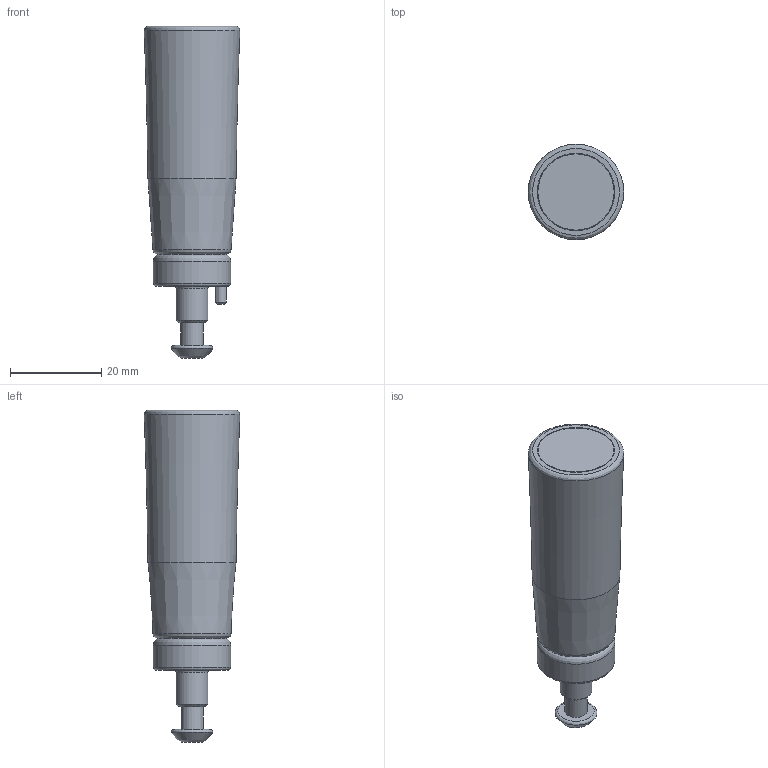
import cadquery as cq
import math


GRIP_TOP_Z = 57.0
GRIP_BOTTOM_Z = 7.0
GRIP_TOP_RADIUS = 20.95 / 2
GRIP_WAIST_RADIUS = 9.65
GRIP_WAIST_Z = 23.6
GRIP_BOTTOM_RADIUS = 8.55
GRIP_EDGE_ROUND = 0.95
UPPER_SIDE_HOLLOW = 0.1

CAP_SEAT_DIAMETER = 17.0
CAP_DIAMETER = 16.7
CAP_GAP_DEPTH = 1.0

COLLAR_RADIUS = 17.0 / 2
COLLAR_TOP_ROUND = 1.5
COLLAR_BOTTOM_ROUND = 0.6

STEM_RADIUS = 7.0 / 2
STEM_ROOT_ROUND = 0.5
STEM_BOTTOM_Z = -8.0
STEM_CHAMFER = 0.5
NECK_RADIUS = 5.0 / 2
HEAD_TOP_Z = -13.0
HEAD_BOTTOM_Z = -15.75
HEAD_RADIUS = 4.6
HEAD_EDGE_ROUND = 0.6
HEAD_FLAT_RADIUS = 2.3
HEAD_DOME_BULGE = 0.35

PIN_DIAMETER = 2.5
PIN_OFFSET = 6.3
PIN_BOTTOM_Z = -4.0
PIN_CHAMFER = 0.5

DIAGONAL = math.sqrt(0.5)


def make_grip():
    """Tapered grip, slightly hollow above the waist, rounded at both ends."""
    upper_bottom = (GRIP_WAIST_RADIUS, GRIP_WAIST_Z)
    upper_top_z = GRIP_TOP_Z - GRIP_EDGE_ROUND
    upper_middle = (
        (GRIP_WAIST_RADIUS + GRIP_TOP_RADIUS) / 2 - UPPER_SIDE_HOLLOW,
        (GRIP_WAIST_Z + upper_top_z) / 2,
    )
    round_inset = GRIP_EDGE_ROUND * (1 - DIAGONAL)
    profile = (
        cq.Workplane("XZ")
        .moveTo(0, GRIP_BOTTOM_Z)
        .lineTo(GRIP_BOTTOM_RADIUS - GRIP_EDGE_ROUND, GRIP_BOTTOM_Z)
        .threePointArc(
            (GRIP_BOTTOM_RADIUS - round_inset, GRIP_BOTTOM_Z + round_inset),
            (GRIP_BOTTOM_RADIUS, GRIP_BOTTOM_Z + GRIP_EDGE_ROUND),
        )
        .lineTo(*upper_bottom)
        .threePointArc(upper_middle, (GRIP_TOP_RADIUS, upper_top_z))
        .threePointArc(
            (GRIP_TOP_RADIUS - round_inset, GRIP_TOP_Z - round_inset),
            (GRIP_TOP_RADIUS - GRIP_EDGE_ROUND, GRIP_TOP_Z),
        )
        .lineTo(0, GRIP_TOP_Z)
        .close()
    )
    return profile.revolve(360, (0, 0, 0), (0, 1, 0))


def make_cap_gap():
    """Thin ring-shaped gap between the cap and its seat."""
    return (
        cq.Workplane("XY", origin=(0, 0, GRIP_TOP_Z - CAP_GAP_DEPTH))
        .circle(CAP_SEAT_DIAMETER / 2)
        .circle(CAP_DIAMETER / 2)
        .extrude(CAP_GAP_DEPTH)
    )


def make_collar():
    """Plain collar under the grip, rounded on both rims."""
    collar = cq.Workplane("XY").circle(COLLAR_RADIUS).extrude(GRIP_BOTTOM_Z)
    collar = collar.faces(">Z").edges().fillet(COLLAR_TOP_ROUND)
    return collar.faces("<Z").edges().fillet(COLLAR_BOTTOM_ROUND)


def make_stem():
    """Stem with a filleted root, a thinner neck and a domed head."""
    dome_top_z = HEAD_TOP_Z - HEAD_EDGE_ROUND
    round_inset = HEAD_EDGE_ROUND * (1 - DIAGONAL)
    dome_length = math.hypot(HEAD_RADIUS - HEAD_FLAT_RADIUS, dome_top_z - HEAD_BOTTOM_Z)
    bulge_r = HEAD_DOME_BULGE * (dome_top_z - HEAD_BOTTOM_Z) / dome_length
    bulge_z = HEAD_DOME_BULGE * (HEAD_RADIUS - HEAD_FLAT_RADIUS) / dome_length
    dome_middle = (
        (HEAD_RADIUS + HEAD_FLAT_RADIUS) / 2 + bulge_r,
        (dome_top_z + HEAD_BOTTOM_Z) / 2 - bulge_z,
    )
    root_inset = STEM_ROOT_ROUND * (1 - DIAGONAL)
    profile = (
        cq.Workplane("XZ")
        .lineTo(STEM_RADIUS + STEM_ROOT_ROUND, 0)
        .threePointArc((STEM_RADIUS + root_inset, -root_inset), (STEM_RADIUS, -STEM_ROOT_ROUND))
        .lineTo(STEM_RADIUS, STEM_BOTTOM_Z + STEM_CHAMFER)
        .lineTo(STEM_RADIUS - STEM_CHAMFER, STEM_BOTTOM_Z)
        .lineTo(NECK_RADIUS, STEM_BOTTOM_Z)
        .lineTo(NECK_RADIUS, HEAD_TOP_Z)
        .lineTo(HEAD_RADIUS - HEAD_EDGE_ROUND, HEAD_TOP_Z)
        .threePointArc((HEAD_RADIUS - round_inset, HEAD_TOP_Z - round_inset), (HEAD_RADIUS, dome_top_z))
        .threePointArc(dome_middle, (HEAD_FLAT_RADIUS, HEAD_BOTTOM_Z))
        .lineTo(0, HEAD_BOTTOM_Z)
        .close()
    )
    return profile.revolve(360, (0, 0, 0), (0, 1, 0))


def make_pin():
    """Chamfered locating pin beside the stem, reaching past the rounded collar rim."""
    pin = (
        cq.Workplane("XY", origin=(PIN_OFFSET, 0, PIN_BOTTOM_Z))
        .circle(PIN_DIAMETER / 2)
        .extrude(COLLAR_BOTTOM_ROUND - PIN_BOTTOM_Z)
    )
    return pin.faces("<Z").edges().chamfer(PIN_CHAMFER)


result = make_grip().cut(make_cap_gap())
result = result.union(make_collar()).union(make_stem()).union(make_pin())